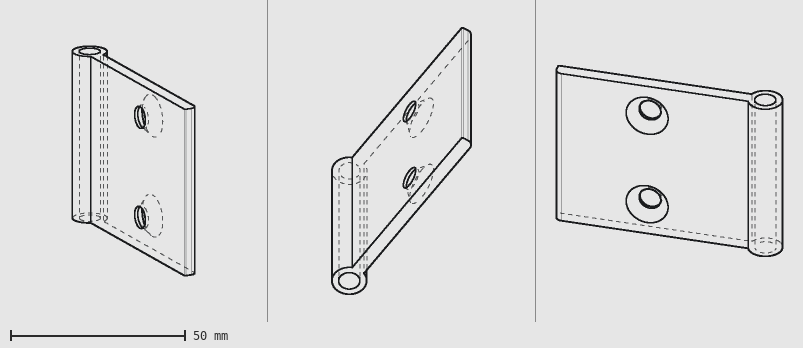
import cadquery as cq
import math

length = 67.0
height = 50.0

barrel_diameter = 10.0
bore_diameter = 6.1
barrel_radius = barrel_diameter / 2

leaf_thickness = 4.0
leaf_end = length - barrel_radius
end_round = 2.0
front_edge_round = 0.35

hole_diameter = 6.4
countersink_depth = 3.0
countersink_angle = 90.0
hole_spacing = 30.0
hole_from_barrel_side = 39.5
hole_x = hole_from_barrel_side - barrel_radius


def make_leaf():
    """Flat leaf running from the barrel axis, with a large rear and a small front round at its free end."""
    leaf = cq.Workplane("XY").box(leaf_end, leaf_thickness, height, centered=(False, True, False))
    leaf = leaf.edges("|Z and >X and >Y").fillet(end_round)
    return leaf.edges("|Z and >X and <Y").fillet(front_edge_round)


def drill_screw_holes(body):
    """Two through holes, evenly spaced about mid-height, countersunk from the rear face."""
    countersink_flare = countersink_depth * math.tan(math.radians(countersink_angle / 2))
    countersink_diameter = hole_diameter + 2 * countersink_flare
    rear_face = cq.Plane(origin=(hole_x, leaf_thickness / 2, height / 2), xDir=(-1, 0, 0), normal=(0, 1, 0))
    return (
        body.copyWorkplane(cq.Workplane(rear_face))
        .pushPoints([(0, -hole_spacing / 2), (0, hole_spacing / 2)])
        .cskHole(hole_diameter, countersink_diameter, countersink_angle, depth=leaf_thickness)
    )


barrel = cq.Workplane("XY").circle(barrel_radius).extrude(height)
bore = cq.Workplane("XY").circle(bore_diameter / 2).extrude(height)

result = drill_screw_holes(barrel.union(make_leaf()).cut(bore))